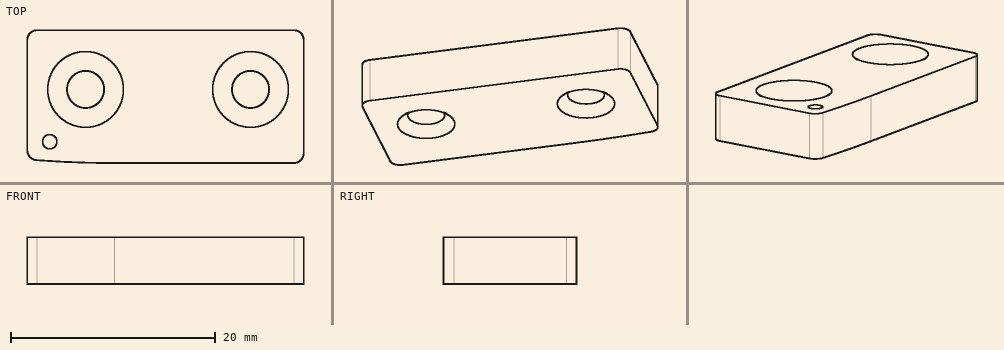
import cadquery as cq
import math

LENGTH = 27.0
WIDTH = 13.0
HEIGHT = 4.6
CORNER_RADIUS = 1.0

RELIEF_LENGTH = 8.5
RELIEF_RADIUS = 100.0

SCREW_HOLE_DIAMETER = 3.6
TOP_SINK_DIAMETER = 7.4
BOTTOM_SINK_DIAMETER = 5.6
SCREW_HOLE_SPACING = 16.1
LEFT_SCREW_X = -7.8
SCREW_Y = 0.7

DIMPLE_DIAMETER = 1.4
DIMPLE_DEPTH = 0.6
DIMPLE_X = -11.3
DIMPLE_Y = -4.4


def relief_rise(distance):
    """Height of the relief arc above the front side, at a distance from its tangent point."""
    return RELIEF_RADIUS - math.sqrt(RELIEF_RADIUS**2 - distance**2)


def make_plate():
    """Plate with rounded vertical corners and a curved relief at the left of its front side."""
    left, right = -LENGTH / 2, LENGTH / 2
    front, back = -WIDTH / 2, WIDTH / 2
    tangent_x = left + RELIEF_LENGTH
    arc_middle = (tangent_x - RELIEF_LENGTH / 2, front + relief_rise(RELIEF_LENGTH / 2))
    arc_end = (left, front + relief_rise(RELIEF_LENGTH))
    plate = (
        cq.Workplane("XY")
        .moveTo(tangent_x, front)
        .threePointArc(arc_middle, arc_end)
        .lineTo(left, back)
        .lineTo(right, back)
        .lineTo(right, front)
        .close()
        .extrude(HEIGHT)
    )
    return plate.edges("|Z and (<X or >X)").fillet(CORNER_RADIUS)


def make_screw_cutter(x, y):
    """Revolved double countersunk hole on a vertical axis through (x, y)."""
    hole_radius = SCREW_HOLE_DIAMETER / 2
    top_radius = TOP_SINK_DIAMETER / 2
    bottom_radius = BOTTOM_SINK_DIAMETER / 2
    top_sink_depth = top_radius - hole_radius
    bottom_sink_depth = bottom_radius - hole_radius
    half_section = [
        (0, 0),
        (bottom_radius, 0),
        (hole_radius, bottom_sink_depth),
        (hole_radius, HEIGHT - top_sink_depth),
        (top_radius, HEIGHT),
        (0, HEIGHT),
    ]
    cutter = cq.Workplane("XZ").polyline(half_section).close().revolve(360, (0, 0), (0, 1))
    return cutter.translate((x, y, 0))


def make_dimple_cutter():
    """Blind cylinder sunk from the top face."""
    floor = cq.Workplane("XY").workplane(offset=HEIGHT - DIMPLE_DEPTH)
    return floor.center(DIMPLE_X, DIMPLE_Y).circle(DIMPLE_DIAMETER / 2).extrude(DIMPLE_DEPTH)


result = make_plate()
for screw_x in (LEFT_SCREW_X, LEFT_SCREW_X + SCREW_HOLE_SPACING):
    result = result.cut(make_screw_cutter(screw_x, SCREW_Y))
result = result.cut(make_dimple_cutter())